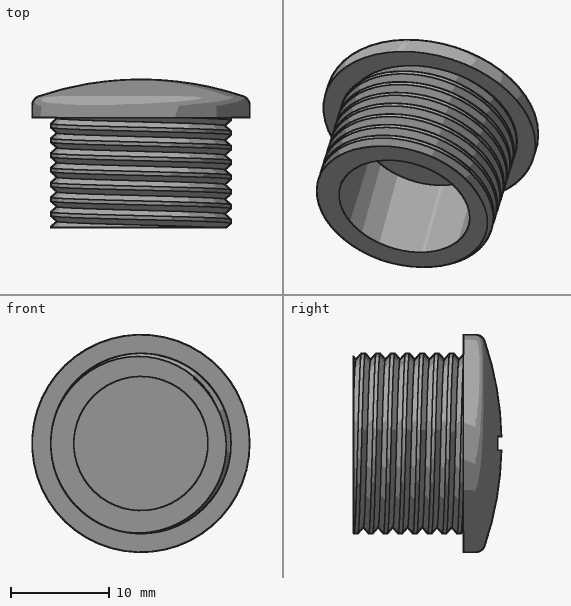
import cadquery as cq
import math

overall_length = 15.12

head_radius = 11.1
rim_height = 1.25
rim_fillet = 1.0
slot_width = 1.38
slot_depth = 0.4

shank_length = 11.2
shank_radius = 9.2
bore_radius = 6.84
bore_depth = 9.4

ten_turns_length = 15.0
pitch = ten_turns_length / 10
crest_width = 0.4
groove_depth = 0.62
groove_start = -0.1
radial_overshoot = 0.09
trim_allowance = 6.65


def make_head():
    """Revolve a rim whose fillet runs tangent into a spherical dome."""
    fillet_x = head_radius - rim_fillet
    fillet_z = shank_length + rim_height

    apex_rise = overall_length - rim_fillet - fillet_z
    center_drop = (fillet_x**2 - apex_rise**2) / (2 * apex_rise)
    tilt = math.atan2(fillet_x, center_drop)
    dome_center_z = fillet_z - center_drop
    dome_radius = overall_length - dome_center_z

    def fillet_point(angle):
        return (fillet_x + rim_fillet * math.sin(angle), fillet_z + rim_fillet * math.cos(angle))

    dome_middle = (
        dome_radius * math.sin(tilt / 2),
        dome_center_z + dome_radius * math.cos(tilt / 2),
    )
    return (
        cq.Workplane("XZ")
        .moveTo(0, shank_length)
        .lineTo(head_radius, shank_length)
        .lineTo(head_radius, fillet_z)
        .threePointArc(fillet_point((tilt + math.pi / 2) / 2), fillet_point(tilt))
        .threePointArc(dome_middle, (0, overall_length))
        .close()
        .revolve(360, (0, 0), (0, 1))
    )


def make_thread_groove():
    """Solid of triangular section bounded by three helices, overrunning both ends of the shank."""
    first_groove = groove_start - pitch
    turns = math.ceil((shank_length - first_groove) / pitch) + 1
    flank_spread = (pitch - crest_width) / 2
    cutter_half_width = flank_spread * (1 + radial_overshoot / groove_depth)
    cutter_radius = shank_radius + radial_overshoot

    corners = [
        (shank_radius - groove_depth, first_groove),
        (cutter_radius, first_groove + cutter_half_width),
        (cutter_radius, first_groove - cutter_half_width),
    ]
    helices = [
        cq.Wire.makeHelix(pitch, turns * pitch, radius, center=cq.Vector(0, 0, height), lefthand=True)
        for radius, height in corners
    ]
    faces = []
    for index, helix in enumerate(helices):
        faces += cq.Face.makeRuledSurface(helices[index - 1], helix).Faces()
    for end_points in (
        [helix.startPoint() for helix in helices],
        [helix.endPoint() for helix in helices],
    ):
        faces.append(cq.Face.makeFromWires(cq.Wire.makePolygon(end_points, close=True)))
    return cq.Workplane(obj=cq.Solid.makeSolid(cq.Shell.makeShell(faces)))


def make_shank():
    """Thread an overlong solid rod, then trim it between the open end and the head."""
    rod = (
        cq.Workplane("XY", origin=(0, 0, -trim_allowance))
        .circle(shank_radius)
        .extrude(shank_length + 2 * trim_allowance)
    )
    trim_block = cq.Workplane("XY").rect(2 * head_radius, 2 * head_radius).extrude(shank_length)
    return rod.cut(make_thread_groove()).intersect(trim_block)


def make_bore():
    """Blind flat-bottomed bore from the open end."""
    return cq.Workplane("XY").circle(bore_radius).extrude(bore_depth)


def make_slot():
    """Shallow screwdriver slot running along X right across the dome."""
    return (
        cq.Workplane("XY", origin=(0, 0, overall_length - slot_depth))
        .rect(2 * head_radius, slot_width)
        .extrude(slot_depth)
    )


plug = make_head().cut(make_slot()).union(make_shank()).cut(make_bore())
result = plug.rotate((0, 0, 0), (1, 0, 0), -90)